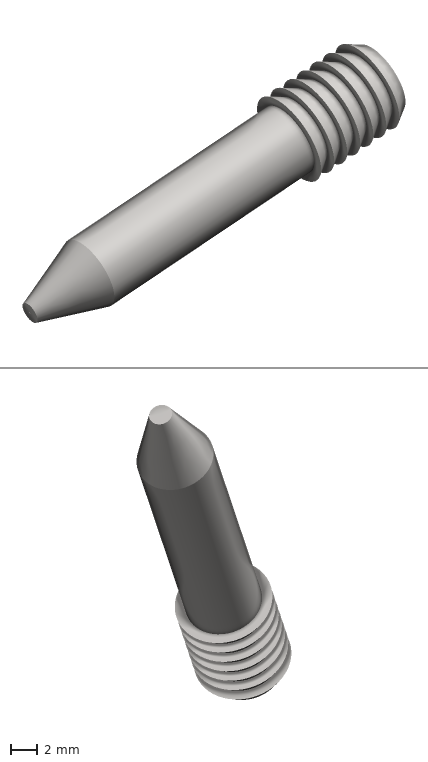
import cadquery as cq

total_length = 35.05
shank_radius = 6.0 / 2

shank_start_y = 5.95
nose_end_radius = 1.8 / 2
point_radius = 0.1 / 2
point_length = 0.05

barb_radius = 7.6 / 2
barb_count = 7
barbs_length = 9.1
barb_pitch = barbs_length / barb_count

nose_end_y = point_length
barbs_start_y = total_length - barbs_length


def half_profile():
    """Half outline in the XY plane, from the point at Y = 0 to the barbed end."""
    points = [
        (0, 0),
        (point_radius, 0),
        (point_radius, nose_end_y),
        (nose_end_radius, nose_end_y),
        (shank_radius, shank_start_y),
        (shank_radius, barbs_start_y),
    ]
    for index in range(barb_count):
        barb_y = barbs_start_y + index * barb_pitch
        points.append((barb_radius, barb_y))
        points.append((shank_radius, barb_y + barb_pitch))
    points.append((0, total_length))
    return cq.Workplane("XY").polyline(points).close()


result = half_profile().revolve(360, (0, 0, 0), (0, 1, 0))